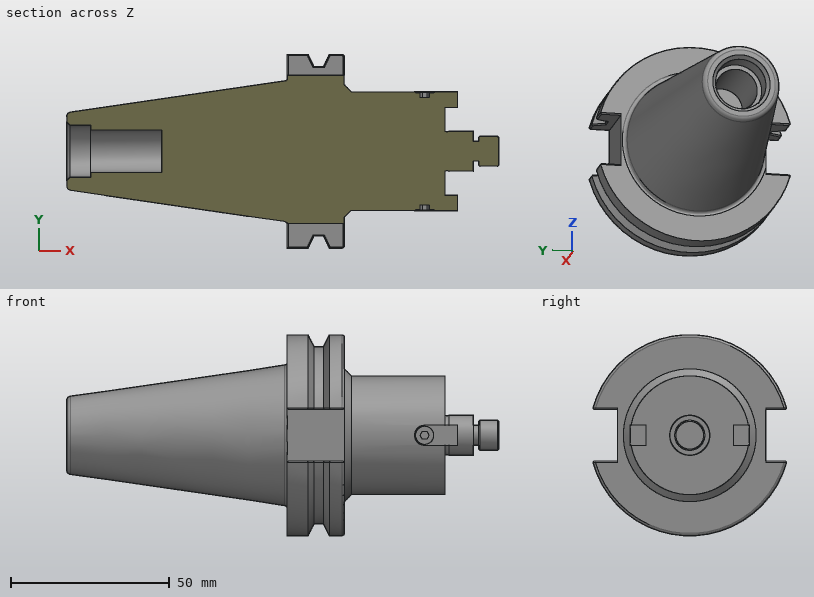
import cadquery as cq
import math


GAUGE_DIAMETER = 44.45
TAPER_RATIO = 7 / 24
TAPER_LENGTH = 68.7
TAPER_TIP_FILLET = 1.5
RELIEF_DIAMETER = 47.2

BORE_DIAMETER = 16.26
BORE_DEPTH = 7.6
BORE_MOUTH_DIAMETER = 18.5
INNER_BORE_DIAMETER = 13.39
INNER_BORE_DEPTH = 30.0

FLANGE_DIAMETER = 63.5
FLANGE_START = 69.5
FLANGE_WIDTH = 18.1
FLANGE_END = FLANGE_START + FLANGE_WIDTH
FLANGE_BACK_FILLET = 0.8
GROOVE_CENTER = FLANGE_START + 10.0
GROOVE_FLOOR_DIAMETER = 56.0
GROOVE_FLOOR_WIDTH = 2.9
GROOVE_TOP_WIDTH = 6.7

SLOT_WIDTH = 16.2
SLOT_EDGE_CHAMFER = 0.45
SLOT_FLOOR_OFFSETS = {1: 24.0, -1: 22.8}
POSITION_TOLERANCE = 1e-3

NOSE_DIAMETER = 37.5
NOSE_END = 119.4
NOSE_ROOT_CHAMFER = 2.2

PILOT_DIAMETER = 12.7
PILOT_END = 128.3
PILOT_RELIEF_WIDTH = 1.15
PILOT_RELIEF_DEPTH = 0.15
NECK_DIAMETER = 6.35
STUD_DIAMETER = 9.53
STUD_START = 129.9
STUD_END = 136.33
STUD_CHAMFER = 0.4

KEY_WIDTH = 6.35
KEY_THICKNESS = 5.0
KEY_OUTER_OFFSET = 18.8
KEY_END = 123.3

SCREW_X = 112.9
SCREW_RECESS_DIAMETER = 5.71
SCREW_RECESS_DEPTH = 0.3
SOCKET_ACROSS_FLATS = 2.5
SOCKET_DEPTH = 1.5


def revolve_about_x(profile):
    return profile.close().revolve(360, (0, 0, 0), (1, 0, 0))


def turned_body():
    gauge_radius = GAUGE_DIAMETER / 2
    flange_radius = FLANGE_DIAMETER / 2
    nose_radius = NOSE_DIAMETER / 2
    taper_angle = math.atan(TAPER_RATIO / 2)

    tip_radius = gauge_radius - TAPER_LENGTH * TAPER_RATIO / 2
    tip_tangent = TAPER_TIP_FILLET * math.tan((math.pi / 2 - taper_angle) / 2)
    tip_arc_end = (
        tip_tangent * math.cos(taper_angle),
        tip_radius + tip_tangent * math.sin(taper_angle),
    )

    relief_length = FLANGE_START - TAPER_LENGTH
    relief_height = RELIEF_DIAMETER / 2 - gauge_radius
    relief_arc_radius = (relief_length**2 + relief_height**2) / (2 * relief_height)
    relief_bottom = (TAPER_LENGTH + relief_arc_radius, gauge_radius + relief_arc_radius)

    back_fillet_inset = FLANGE_BACK_FILLET * (1 - math.sqrt(0.5))

    return revolve_about_x(
        cq.Workplane("XY")
        .lineTo(0, tip_radius - tip_tangent)
        .tangentArcPoint(tip_arc_end, relative=False)
        .lineTo(TAPER_LENGTH, gauge_radius)
        .threePointArc(relief_bottom, (FLANGE_START, RELIEF_DIAMETER / 2))
        .lineTo(FLANGE_START, flange_radius)
        .lineTo(FLANGE_END - FLANGE_BACK_FILLET, flange_radius)
        .threePointArc(
            (FLANGE_END - back_fillet_inset, flange_radius - back_fillet_inset),
            (FLANGE_END, flange_radius - FLANGE_BACK_FILLET),
        )
        .lineTo(FLANGE_END, nose_radius + NOSE_ROOT_CHAMFER)
        .lineTo(FLANGE_END + NOSE_ROOT_CHAMFER, nose_radius)
        .lineTo(NOSE_END, nose_radius)
        .lineTo(NOSE_END, 0)
    )


def gripper_groove():
    floor_radius = GROOVE_FLOOR_DIAMETER / 2
    top_radius = FLANGE_DIAMETER / 2
    return revolve_about_x(
        cq.Workplane("XY")
        .moveTo(GROOVE_CENTER - GROOVE_TOP_WIDTH / 2, top_radius)
        .lineTo(GROOVE_CENTER - GROOVE_FLOOR_WIDTH / 2, floor_radius)
        .lineTo(GROOVE_CENTER + GROOVE_FLOOR_WIDTH / 2, floor_radius)
        .lineTo(GROOVE_CENTER + GROOVE_TOP_WIDTH / 2, top_radius)
    )


def stepped_bore():
    bore_radius = BORE_DIAMETER / 2
    inner_radius = INNER_BORE_DIAMETER / 2
    mouth_radius = BORE_MOUTH_DIAMETER / 2
    mouth_depth = mouth_radius - bore_radius
    return revolve_about_x(
        cq.Workplane("XY")
        .lineTo(0, mouth_radius)
        .lineTo(mouth_depth, bore_radius)
        .lineTo(BORE_DEPTH, bore_radius)
        .lineTo(BORE_DEPTH, inner_radius)
        .lineTo(INNER_BORE_DEPTH, inner_radius)
        .lineTo(INNER_BORE_DEPTH, 0)
    )


def cylinder_along_x(diameter, start, end):
    return cq.Workplane("YZ").workplane(offset=start).circle(diameter / 2).extrude(end - start)


def pilot_and_stud():
    pilot_radius = PILOT_DIAMETER / 2
    pilot = revolve_about_x(
        cq.Workplane("XY", origin=(NOSE_END, 0, 0))
        .lineTo(0, pilot_radius)
        .threePointArc(
            (PILOT_RELIEF_WIDTH / 2, pilot_radius - PILOT_RELIEF_DEPTH),
            (PILOT_RELIEF_WIDTH, pilot_radius),
        )
        .lineTo(PILOT_END - NOSE_END, pilot_radius)
        .lineTo(PILOT_END - NOSE_END, 0)
    )
    neck = cylinder_along_x(NECK_DIAMETER, PILOT_END, STUD_START)
    stud = cylinder_along_x(STUD_DIAMETER, STUD_START, STUD_END).faces("<X or >X").chamfer(STUD_CHAMFER)
    return pilot.union(neck).union(stud)


def cut_drive_slot(body, side):
    """Cut the slot on the given Y side (+1 or -1) and chamfer the edges of its two walls."""
    floor = SLOT_FLOOR_OFFSETS[side]
    depth = FLANGE_DIAMETER / 2 - floor
    middle = (FLANGE_START + FLANGE_WIDTH / 2, side * (floor + depth / 2), 0)
    slotted = body.cut(cq.Workplane("XY").box(FLANGE_WIDTH, depth, SLOT_WIDTH).translate(middle))

    wall_edges = []
    for face in slotted.faces("|Z").vals():
        center = face.Center()
        if center.y * side < floor:
            continue
        for edge in face.Edges():
            if abs(edge.Center().y - side * floor) > POSITION_TOLERANCE:
                wall_edges.append(edge)
    return slotted.newObject(wall_edges).chamfer(SLOT_EDGE_CHAMFER)


def at_key_face(depth=0.0):
    """Workplane on the screw axis, a given depth below the outer face of the +Y key."""
    return cq.Workplane("XZ", origin=(SCREW_X, KEY_OUTER_OFFSET - depth, 0))


def drive_key():
    """Key on the +Y side, rounded about the screw axis at its flange end."""
    bar_length = KEY_END - SCREW_X
    bar = at_key_face().center(bar_length / 2, 0).rect(bar_length, KEY_WIDTH).extrude(KEY_THICKNESS)
    round_end = at_key_face().circle(KEY_WIDTH / 2).extrude(KEY_THICKNESS)
    return bar.union(round_end)


def screw_recess():
    """Round recess over the screw head and the hexagon socket in the head, on the +Y side."""
    recess = at_key_face().circle(SCREW_RECESS_DIAMETER / 2).extrude(SCREW_RECESS_DEPTH)
    across_corners = SOCKET_ACROSS_FLATS / math.cos(math.pi / 6)
    socket = at_key_face(SCREW_RECESS_DEPTH).polygon(6, across_corners).extrude(SOCKET_DEPTH)
    return recess.union(socket)


def both_sides(feature):
    return feature.union(feature.mirror("XZ"))


body = turned_body().cut(gripper_groove())
for slot_side in SLOT_FLOOR_OFFSETS:
    body = cut_drive_slot(body, slot_side)

result = (
    body
    .cut(stepped_bore())
    .union(pilot_and_stud())
    .union(both_sides(drive_key()))
    .cut(both_sides(screw_recess()))
)